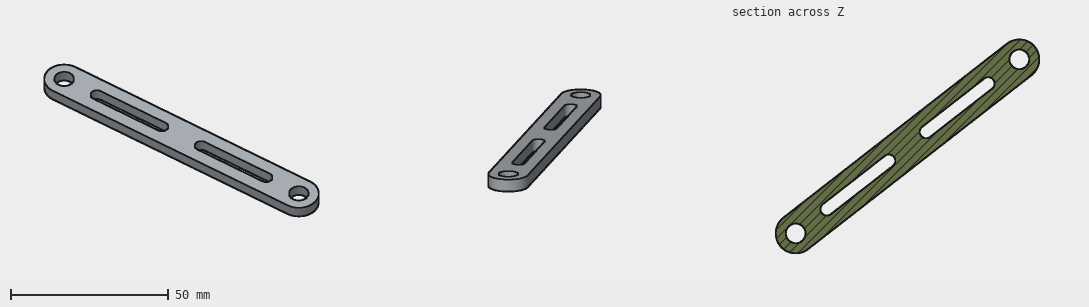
import cadquery as cq
import math

overall_x = 83.7
overall_y = 68.0
thickness = 4.0
end_radius = 6.4
hole_diameter = 6.2
slot_width = 4.0
slot_travel = 24.95
slot_gap = 15.0

span_x = overall_x - 2 * end_radius
span_y = overall_y - 2 * end_radius
hole_spacing = math.hypot(span_x, span_y)
bar_angle = math.degrees(math.atan2(span_y, span_x))
slot_offset = (slot_gap + slot_travel) / 2


def make_bar():
    """Flat bar with fully rounded ends, lying along X."""
    return cq.Workplane("XY").slot2D(hole_spacing + 2 * end_radius, 2 * end_radius).extrude(thickness)


def cut_end_holes(body):
    """Through hole concentric with each rounded end."""
    centres = [(-hole_spacing / 2, 0), (hole_spacing / 2, 0)]
    return body.faces(">Z").workplane(origin=(0, 0, 0)).pushPoints(centres).hole(hole_diameter)


def cut_slots(body):
    """Two through slots on the bar's centre line."""
    centres = [(-slot_offset, 0), (slot_offset, 0)]
    slots = (
        cq.Workplane("XY")
        .pushPoints(centres)
        .slot2D(slot_travel + slot_width, slot_width)
        .extrude(thickness)
    )
    return body.cut(slots)


bar = cut_slots(cut_end_holes(make_bar()))

result = bar.rotate((0, 0, 0), (0, 0, 1), bar_angle)